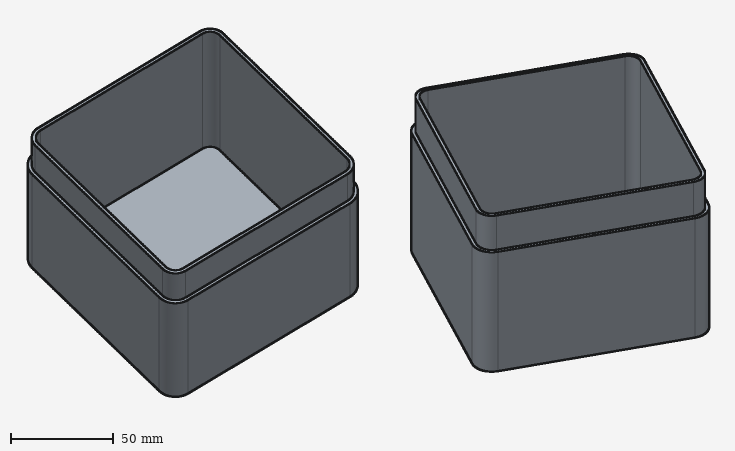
import cadquery as cq

body_width = 120.0
corner_radius = 10.0
total_height = 90.0
rim_height = 20.0
ledge_width = 2.0
rim_thickness = 2.0
floor_thickness = 4.0

shoulder_height = total_height - rim_height
cavity_inset = ledge_width + rim_thickness
cavity_depth = total_height - floor_thickness


def rounded_block(inset, base_z, height):
    """Square block with rounded upright corners, offset inward from the body outline."""
    side = body_width - 2 * inset
    return (
        cq.Workplane("XY")
        .workplane(offset=base_z)
        .rect(side, side)
        .extrude(height)
        .edges("|Z")
        .fillet(corner_radius - inset)
    )


body = rounded_block(0, 0, shoulder_height)
rim = rounded_block(ledge_width, 0, total_height)
cavity = rounded_block(cavity_inset, floor_thickness, cavity_depth)

result = body.union(rim).cut(cavity)